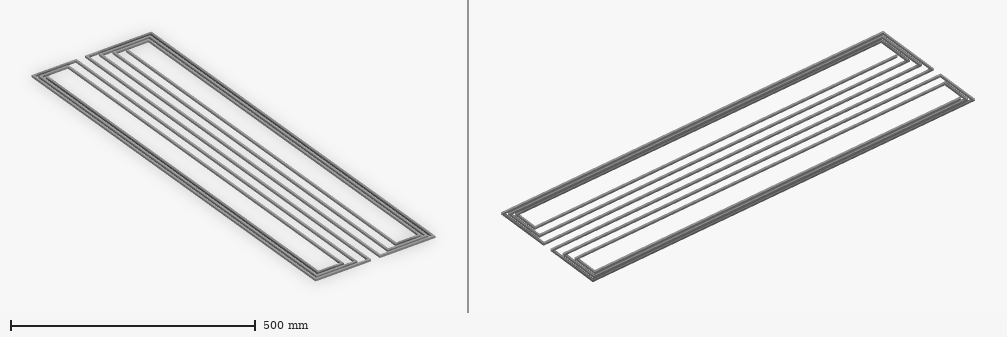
import cadquery as cq

length = 1000.0
width = 300.0
thickness = 5.0
track = 5.0
turn_pitch = 10.0
run_pitch = 27.0
end_gap = 5.0


def side_x(turn):
    """Distance from the Y axis to the track centre of a turn's short side."""
    return length / 2 - track / 2 - turn * turn_pitch


def side_y(turn):
    """Distance from the X axis to the track centre of a turn's outer long side."""
    return width / 2 - track / 2 - turn * turn_pitch


def run_y(index):
    """Distance from the X axis to the centre of an inner long run."""
    return (index + 0.5) * run_pitch


def inner_end_x(turn):
    """Left free end of the track, clear of the left side of the given turn."""
    return -side_x(turn) + track / 2 + end_gap


def segment(start, end):
    """Straight piece of track, extended half a track width past both points."""
    (x0, y0), (x1, y1) = start, end
    return cq.Workplane("XY").center((x0 + x1) / 2, (y0 + y1) / 2).rect(
        abs(x1 - x0) + track, abs(y1 - y0) + track
    ).extrude(thickness)


joining_y = -run_y(0)

upper_path = [(-side_x(0), joining_y)]
for turn in range(3):
    upper_path += [
        (-side_x(turn), side_y(turn)),
        (side_x(turn), side_y(turn)),
        (side_x(turn), run_y(turn)),
    ]
    if turn < 2:
        upper_path.append((-side_x(turn + 1), run_y(turn)))
upper_path.append((inner_end_x(2) + track / 2, run_y(2)))

lower_path = [(side_x(0), joining_y)]
for turn in range(2):
    lower_path += [
        (side_x(turn), -side_y(turn)),
        (-side_x(turn), -side_y(turn)),
        (-side_x(turn), -run_y(turn + 1)),
        (side_x(turn + 1), -run_y(turn + 1)),
    ]
lower_path += [
    (side_x(2), -side_y(2)),
    (inner_end_x(1) + track / 2, -side_y(2)),
]

track_path = upper_path[::-1] + lower_path
result = segment(track_path[0], track_path[1])
for start, end in zip(track_path[1:], track_path[2:]):
    result = result.union(segment(start, end))
result = result.clean()